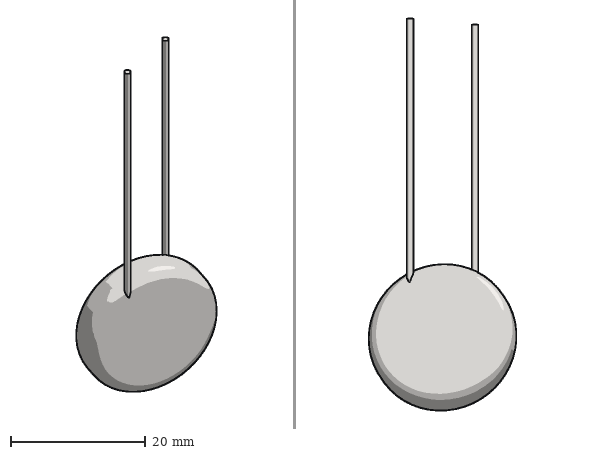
import cadquery as cq
import math

body_diameter = 22.0
body_thickness = 6.0
rim_radius = 2.0

total_height = 60.0
lead_diameter = 1.0
lead_spacing = 8.9

body_radius = body_diameter / 2
flat_radius = body_radius - rim_radius
lead_x = (body_thickness - lead_diameter) / 2
lead_y = lead_spacing / 2
lead_top = total_height - body_radius
flat_edge_gap = 0.1
lead_bottom = math.sqrt(flat_radius**2 - lead_y**2) + flat_edge_gap


def make_body():
    """Round disc with both rim edges filleted."""
    disc = (
        cq.Workplane("YZ", origin=(-body_thickness / 2, 0, 0))
        .circle(body_radius)
        .extrude(body_thickness)
    )
    return disc.edges("%CIRCLE").fillet(rim_radius)


def make_lead(x, y):
    """Straight vertical wire rising out of the rim."""
    return (
        cq.Workplane("XY", origin=(x, y, lead_bottom))
        .circle(lead_diameter / 2)
        .extrude(lead_top - lead_bottom)
    )


result = make_body()
for side in (-1, 1):
    result = result.union(make_lead(side * lead_x, -side * lead_y))